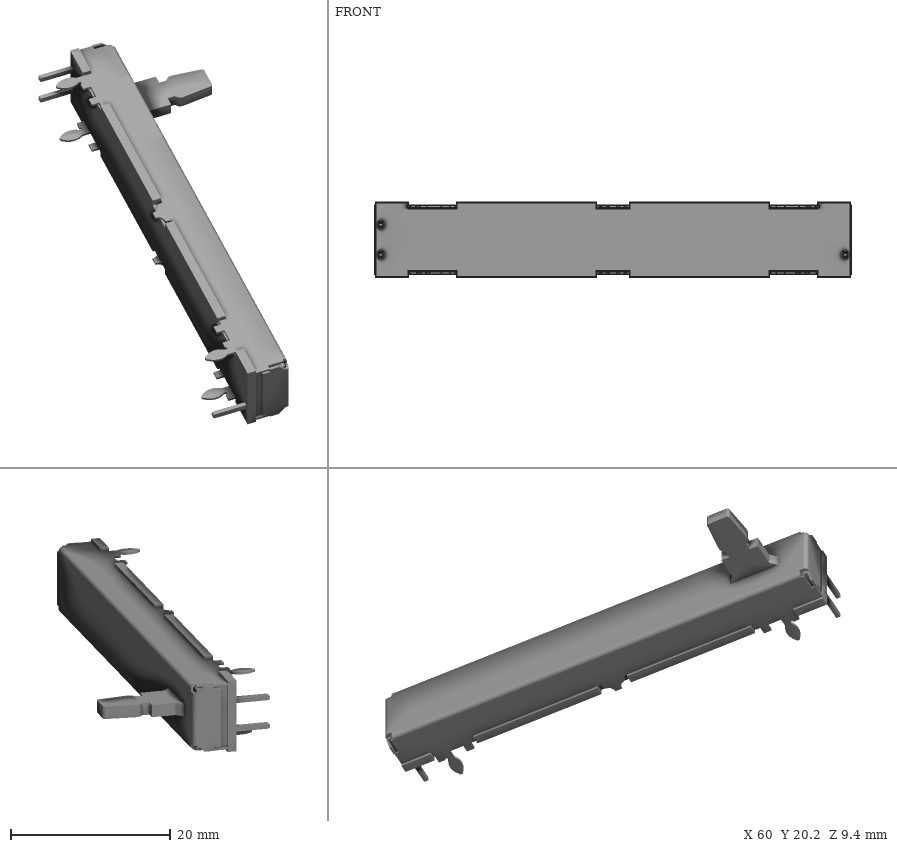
import cadquery as cq


base_length = 59.75
base_width = 9.4
flange_height = 1.15
platform_width = 7.75

sheet = 0.3
cover_width = 8.7
cover_top = 5.7
bend_radius = 0.55
flap_offset = 0.1
flap_bottom = 2.05
ear_bottom = 3.0
side_wall_setback = 0.6
flap_corner_cut = 0.95
relief_length = 0.95
relief_width = 0.85

notch_start = 4.15
notch_end = 10.2
tab_start = 4.3
tab_end = 10.0
tab_bottom = 0.2
leg_width = 2.1
nub_start = 8.3
nub_end = 9.35
nub_bottom = -0.85
neck_width = 0.85
relief_slot = 0.35
relief_slot_top = -0.65
stub_bottom = -0.85
prong_width = 1.6
prong_shoulder = -0.95
prong_bulge_y = -2.4
prong_tip_width = 0.6
prong_tip_corner = -3.6
prong_tip = -3.85
middle_notch_length = 4.2
middle_tab_width = 3.35
middle_tab_step = 1.45
middle_tab_step_top = 0.35
middle_tab_shoulder = 0.8
middle_tab_shoulder_y = 0.1
middle_nub_width = 0.95
middle_nub_top = -0.4
middle_nub_bottom = -0.65

pin_thickness = 0.55
pin_width = 0.7
pin_bottom = -4.5
pin_inset = 0.65
pin_spacing = 3.8
pin_tip_chamfer = 0.2

lever_x = -22.5
lever_thickness = 1.6
lever_top = 15.7
foot_width = 6.85
stem_width = 5.15
stem_bottom = 6.55
stem_top = 9.65
lever_neck_width = 2.9
neck_top = 10.6
barb_width = 3.95
barb_bottom = 11.0
barb_round = 0.1
grip_bottom = 11.65
grip_top_width = 3.1
grip_chamfer = 0.2

base_end = base_length / 2
flap_face = base_end + flap_offset
flap_back = flap_face - sheet
wall_outside = cover_width / 2
wall_inside = wall_outside - sheet
platform_edge = platform_width / 2
bend_start = cover_top - bend_radius
leg_centre = -base_end + tab_start + leg_width / 2
platform_top = bend_start
pin_places = [
    (-base_end + pin_inset, pin_spacing / 2),
    (-base_end + pin_inset, -pin_spacing / 2),
    (base_end - pin_inset, -pin_spacing / 2),
]


def block(x_range, y_range, z_range):
    """Box between two limits along each axis, given in either order."""
    (x0, x1), (y0, y1), (z0, z1) = sorted(x_range), sorted(y_range), sorted(z_range)
    return cq.Workplane("XY").box(x1 - x0, y1 - y0, z1 - z0, centered=False).translate((x0, y0, z0))


def centred(size):
    """Limits of a length centred on zero."""
    return (-size / 2, size / 2)


def make_pin(x, z):
    """Flat terminal pin seated in the base flange, with a chamfered tip."""
    pin = block(centred(pin_thickness), (pin_bottom, flange_height), centred(pin_width))
    pin = pin.faces("<Y").edges("|X").chamfer(pin_tip_chamfer)
    return pin.translate((x, 0, z))


def make_base(pins):
    """Flanged plate with a raised platform, tab notches and a blind hole for each pin."""
    base = block(centred(base_length), (0, flange_height), centred(base_width))
    platform_length = 2 * flap_back
    base = base.union(block(centred(platform_length), (0, platform_top), centred(platform_width)))
    notches = [
        (-base_end + notch_start, -base_end + notch_end),
        centred(middle_notch_length),
        (base_end - notch_start, base_end - notch_end),
    ]
    for side in (-1, 1):
        for notch in notches:
            base = base.cut(block(notch, (0, flange_height), (side * platform_edge, side * base_width)))
    for pin in pins:
        base = base.cut(pin)
    return base


def end_strip():
    """Strip of the -X end below the side wall, with a nub, one sheet thick and with its back at Z = 0."""
    strip = block((tab_start, tab_end), (tab_bottom, flange_height), (0, sheet))
    nub = block((nub_start, nub_end), (nub_bottom, flange_height), (0, sheet))
    return strip.union(nub).translate((-base_end, 0, 0))


def snap_leg():
    """Leg centred on X = 0 with its prong on the -X half and a stub on the +X half, one sheet thick."""
    leg_edge = leg_width / 2
    neck_edge = neck_width - leg_edge
    prong_axis = neck_width / 2 - leg_edge
    tip_left, tip_right = (prong_axis + x for x in centred(prong_tip_width))
    bulge_left, bulge_right = (prong_axis + x for x in centred(prong_width))
    return (
        cq.Workplane("XY")
        .moveTo(-leg_edge, flange_height)
        .lineTo(-leg_edge, prong_shoulder)
        .threePointArc((bulge_left, prong_bulge_y), (tip_left, prong_tip_corner))
        .threePointArc((prong_axis, prong_tip), (tip_right, prong_tip_corner))
        .threePointArc((bulge_right, prong_bulge_y), (neck_edge, prong_shoulder))
        .lineTo(neck_edge, relief_slot_top)
        .lineTo(neck_edge + relief_slot, relief_slot_top)
        .lineTo(neck_edge + relief_slot, stub_bottom)
        .lineTo(leg_edge, stub_bottom)
        .lineTo(leg_edge, flange_height)
        .close()
        .extrude(sheet)
    )


def middle_tab():
    """Stepped tab at mid length, one sheet thick, with its back at Z = 0."""
    half_outline = [
        (middle_tab_width / 2, flange_height),
        (middle_tab_step, middle_tab_step_top),
        (middle_tab_shoulder, middle_tab_shoulder_y),
        (middle_nub_width / 2, middle_nub_top),
        (middle_nub_width / 2, middle_nub_bottom),
    ]
    other_half = [(-x, y) for x, y in reversed(half_outline)]
    return cq.Workplane("XY").polyline(half_outline + other_half).close().extrude(sheet)


def trim_cover_corner(cover, end, side):
    """Cut the bend relief, the side wall notch and the flap outline at one corner.

    `end` and `side` are the signs of X and Z at the corner.
    """
    outside = side * wall_outside
    below_ears = (flange_height, ear_bottom)
    bend_relief = block(
        (end * flap_face, end * (base_end - relief_length)),
        (bend_start, cover_top),
        (side * (wall_outside - relief_width), outside),
    )
    wall_notch = block(
        (end * flap_back, end * (base_end - side_wall_setback)),
        (ear_bottom, bend_start),
        (side * wall_inside, outside),
    )
    flap_corner = (
        cq.Workplane("YZ", origin=(end * flap_back, 0, 0))
        .moveTo(bend_start, outside)
        .lineTo(bend_start - flap_corner_cut, outside)
        .lineTo(bend_start, outside - side * flap_corner_cut)
        .close()
        .extrude(end * sheet)
    )
    flap_slit = block(
        (end * flap_face, end * flap_back), below_ears, (side * platform_edge, side * wall_inside)
    )
    wall_overhang = block((end * flap_face, end * base_end), below_ears, (side * wall_inside, outside))
    for cutter in (bend_relief, wall_notch, flap_corner, flap_slit, wall_overhang):
        cover = cover.cut(cutter)
    return cover


def make_cover():
    """Bent sheet cover, open towards the base, with end flaps and mounting tabs."""
    cover = block((-flap_face, flap_face), (flange_height, cover_top), centred(cover_width))
    cover = cover.faces(">Y").edges().fillet(bend_radius)
    cover = cover.faces("<Y").shell(-sheet)
    for end in (-1, 1):
        for side in (-1, 1):
            cover = trim_cover_corner(cover, end, side)
        below_flap = block(
            (end * flap_face, end * flap_back), (flange_height, flap_bottom), centred(platform_width)
        )
        cover = cover.cut(below_flap)

    outer_leg = snap_leg().translate((leg_centre, 0, 0))
    inner_leg = snap_leg().mirror("YZ").translate((leg_centre, 0, 0))
    for leg, wall_z in ((outer_leg, wall_inside), (inner_leg, -wall_outside)):
        end_tab = end_strip().union(leg)
        for tab in (end_tab, end_tab.mirror("YZ"), middle_tab()):
            cover = cover.union(tab.translate((0, 0, wall_z)))
    return cover


def make_lever():
    """Flat lever with a flared foot on the cover, a neck and a tapered, barbed grip."""
    half = (
        cq.Workplane("XY")
        .moveTo(0, lever_top)
        .lineTo(grip_top_width / 2 - grip_chamfer, lever_top)
        .lineTo(grip_top_width / 2, lever_top - grip_chamfer)
        .lineTo(barb_width / 2, grip_bottom)
        .tangentArcPoint((barb_width / 2 - barb_round, barb_bottom), relative=False)
        .lineTo(lever_neck_width / 2, neck_top)
        .lineTo(lever_neck_width / 2, stem_top)
        .lineTo(stem_width / 2, stem_top)
        .lineTo(stem_width / 2, stem_bottom)
        .lineTo(foot_width / 2, cover_top)
        .lineTo(0, cover_top)
        .close()
        .extrude(lever_thickness)
        .translate((lever_x, 0, -lever_thickness / 2))
    )
    return half.union(half.mirror("YZ", (lever_x, 0, 0))).clean()


pins = [make_pin(x, z) for x, z in pin_places]
base = make_base(pins)
cover = make_cover()
lever = make_lever()

result = cq.Compound.makeCompound([base.val(), cover.val(), lever.val(), *[pin.val() for pin in pins]])